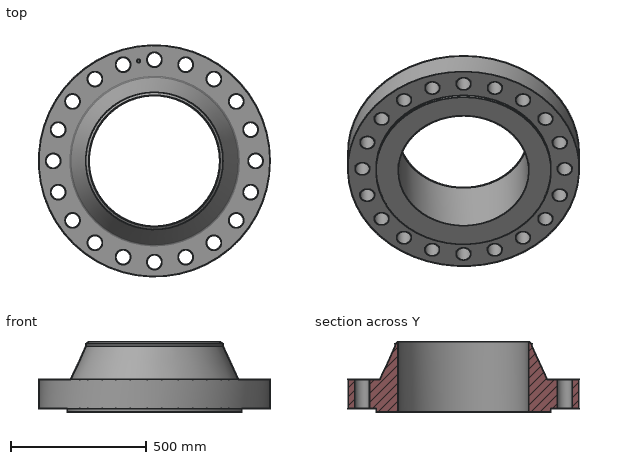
import cadquery as cq
import math

flange_diameter = 857.0
flange_thickness = 108.0
face_diameter = 648.0
face_height = 13.0
overall_height = 260.5

bore_diameter = 483.0
hub_base_diameter = 622.0
hub_base_fillet = 4.0
neck_diameter = 508.0
neck_land_height = 8.0
weld_root_width = 2.0
weld_bevel_angle = 37.5

bolt_count = 20
bolt_circle_diameter = 749.0
bolt_hole_diameter = 54.0
small_hole_diameter = 12.0
small_hole_depth = 26.0

bore_radius = bore_diameter / 2
face_radius = face_diameter / 2
flange_radius = flange_diameter / 2
hub_base_radius = hub_base_diameter / 2
neck_radius = neck_diameter / 2
bolt_circle_radius = bolt_circle_diameter / 2
bolt_pitch_angle = 360 / bolt_count

flange_top = face_height + flange_thickness
weld_root_radius = bore_radius + weld_root_width
bevel_height = (neck_radius - weld_root_radius) * math.tan(math.radians(weld_bevel_angle))
bevel_bottom = overall_height - bevel_height
hub_cone_top = bevel_bottom - neck_land_height


def make_body():
    """Revolve the half section (radius, height) around Z and fillet the foot of the hub."""
    section = [
        (bore_radius, 0),
        (face_radius, 0),
        (face_radius, face_height),
        (flange_radius, face_height),
        (flange_radius, flange_top),
        (hub_base_radius, flange_top),
        (neck_radius, hub_cone_top),
        (neck_radius, bevel_bottom),
        (weld_root_radius, overall_height),
        (bore_radius, overall_height),
    ]
    body = cq.Workplane("XZ").polyline(section).close().revolve(360, (0, 0), (0, 1))
    hub_base_edge = cq.selectors.RadiusNthSelector(-2)
    return body.faces(">Z[-2]").edges(hub_base_edge).fillet(hub_base_fillet)


def make_bolt_holes():
    """Cylinders through the flange, the first one on the +X axis."""
    return (
        cq.Workplane("XY")
        .polarArray(bolt_circle_radius, 0, 360, bolt_count)
        .circle(bolt_hole_diameter / 2)
        .extrude(flange_top)
    )


def make_small_hole():
    """Blind hole in the flange top, half a pitch past the bolt hole on +Y."""
    angle = math.radians(90 + bolt_pitch_angle / 2)
    x = bolt_circle_radius * math.cos(angle)
    y = bolt_circle_radius * math.sin(angle)
    return (
        cq.Workplane("XY")
        .workplane(offset=flange_top - small_hole_depth)
        .center(x, y)
        .circle(small_hole_diameter / 2)
        .extrude(small_hole_depth)
    )


result = make_body().cut(make_bolt_holes()).cut(make_small_hole())